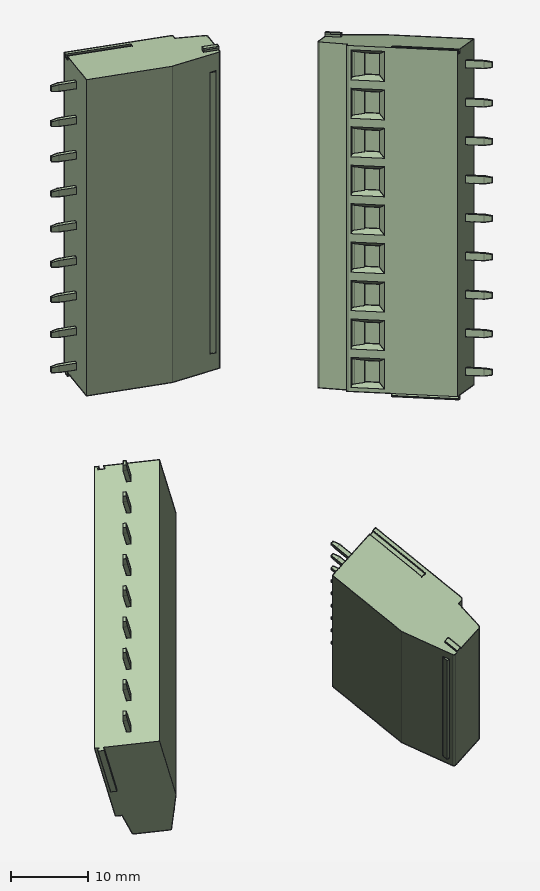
import cadquery as cq
import math

POLES = 9
WIDTH = 8.6
DEPTH = 19.15
HEIGHT = 45.7
PITCH = HEIGHT / POLES
TOTAL_HEIGHT = 46.7
KEY_HEIGHT = (TOTAL_HEIGHT - HEIGHT) / 2

SHOULDER_Y = 14.95
SHOULDER_X = 0.9
BACK_LEFT_X = 1.5
SLOPE_START_Y = 11.8
SLOPE_ANGLE = 15.0
BACK_RIGHT_X = WIDTH - (DEPTH - SLOPE_START_Y) * math.tan(math.radians(SLOPE_ANGLE))
BACK_RADIUS = 0.35
SHOULDER_RADIUS = 0.3

RIM_FRONT_Y = 9.75
RIM_BACK_Y = 14.3
RIM_HEIGHT = 3.95
THROAT_FRONT_Y = 10.8
THROAT_HEIGHT = 2.8
FUNNEL_DEPTH = 1.25
POCKET_DEPTH = 1.5
STEP_Y = 12.75
STEP_DEPTH = 1.1
CLAMP_BACK_Y = 13.95
CLAMP_BACK_DEPTH = 0.75
BACK_WALL_DEPTH = 0.45
ARC_BULGE = 0.65

PIN_X = 4.55
PIN_WIDTH = 0.6
PIN_HEIGHT = 1.0
PIN_LENGTH = 3.45
TIP_LENGTH = 1.0
TIP_WIDTH = 0.37
TIP_HEIGHT = 0.7
TIP_SHIFT = 0.1

WAIST_POSITION = 0.65

RAIL_X = 0.9
RAIL_LENGTH = 8.95
RAIL_ROOT = 0.6
RAIL_WAIST = 0.95
RAIL_END = 0.8

TAB_X = 5.75
TAB_LENGTH = 2.1
TAB_ROOT = 0.65
TAB_WAIST = 0.8
TAB_END = 0.65

RIDGE_X = 7.15
RIDGE_FRONT_Y = 17.55
RIDGE_BACK_Y = 18.35
RIDGE_ROOT_Y = 18.5
RIDGE_ROOT_X = 6.75


def pole_z(index):
    """Height of the centre of one pole."""
    return (index + 0.5) * PITCH


def make_housing():
    outline = [
        (0, 0),
        (WIDTH, 0),
        (WIDTH, SLOPE_START_Y),
        (BACK_RIGHT_X, DEPTH),
        (BACK_LEFT_X, DEPTH),
        (SHOULDER_X, SHOULDER_Y),
        (0, SHOULDER_Y),
    ]
    block = cq.Workplane("XY").polyline(outline).close().extrude(HEIGHT)
    block = block.edges("|Z and >Y").fillet(BACK_RADIUS)
    shoulder_edge = cq.selectors.NearestToPointSelector((0, SHOULDER_Y, HEIGHT / 2))
    return block.edges(shoulder_edge).fillet(SHOULDER_RADIUS)


def make_pocket():
    """Tapered wire entry centred on Z = 0, with the clamp left standing at its back."""
    entry = cq.Workplane("YZ")
    funnel = (
        entry.center((RIM_FRONT_Y + RIM_BACK_Y) / 2, 0)
        .rect(RIM_BACK_Y - RIM_FRONT_Y, RIM_HEIGHT)
        .workplane(offset=FUNNEL_DEPTH)
        .center((THROAT_FRONT_Y - RIM_FRONT_Y) / 2, 0)
        .rect(RIM_BACK_Y - THROAT_FRONT_Y, THROAT_HEIGHT)
        .loft(ruled=True)
    )
    throat = (
        entry.workplane(offset=FUNNEL_DEPTH)
        .center((THROAT_FRONT_Y + RIM_BACK_Y) / 2, 0)
        .rect(RIM_BACK_Y - THROAT_FRONT_Y, THROAT_HEIGHT)
        .extrude(POCKET_DEPTH - FUNNEL_DEPTH)
    )
    arc_middle = (
        BACK_WALL_DEPTH + ARC_BULGE * (CLAMP_BACK_DEPTH - BACK_WALL_DEPTH),
        CLAMP_BACK_Y + ARC_BULGE * (RIM_BACK_Y - CLAMP_BACK_Y),
    )
    open_space = (
        cq.Workplane("XY")
        .moveTo(0, RIM_FRONT_Y)
        .lineTo(POCKET_DEPTH, RIM_FRONT_Y)
        .lineTo(POCKET_DEPTH, STEP_Y)
        .lineTo(STEP_DEPTH, STEP_Y)
        .lineTo(CLAMP_BACK_DEPTH, CLAMP_BACK_Y)
        .threePointArc(arc_middle, (BACK_WALL_DEPTH, RIM_BACK_Y))
        .lineTo(0, RIM_BACK_Y)
        .close()
        .extrude(RIM_HEIGHT / 2, both=True)
    )
    return funnel.union(throat).intersect(open_space)


def make_pin():
    """Solder pin centred on Z = 0, pointing toward -Y, with a tapered tip."""
    shank_length = PIN_LENGTH - TIP_LENGTH
    face = cq.Workplane("XZ").center(PIN_X, 0)
    shank = face.rect(PIN_WIDTH, PIN_HEIGHT).extrude(shank_length)
    tip = (
        face.workplane(offset=shank_length)
        .rect(PIN_WIDTH, PIN_HEIGHT)
        .workplane(offset=TIP_LENGTH)
        .center(TIP_SHIFT, 0)
        .rect(TIP_WIDTH, TIP_HEIGHT)
        .loft(ruled=True)
    )
    return shank.union(tip)


def key_section(centre_x, root_z, end_z, root_width, waist_width, end_width):
    """Six-sided key outline in XZ, widest at its waist."""
    waist_z = root_z + WAIST_POSITION * (end_z - root_z)
    right_side = [
        (root_width / 2, root_z),
        (waist_width / 2, waist_z),
        (end_width / 2, end_z),
    ]
    right = [(centre_x + half, z) for half, z in right_side]
    left = [(centre_x - half, z) for half, z in reversed(right_side)]
    return cq.Workplane("XZ").polyline(right + left).close()


def make_rail(root_z):
    """Rail hanging below root_z, starting at the pin face."""
    section = key_section(RAIL_X, root_z, root_z - KEY_HEIGHT, RAIL_ROOT, RAIL_WAIST, RAIL_END)
    return section.extrude(-RAIL_LENGTH)


def make_tab():
    """Tab on the top end, running forward from the back face."""
    section = key_section(TAB_X, HEIGHT, HEIGHT + KEY_HEIGHT, TAB_ROOT, TAB_WAIST, TAB_END)
    return section.extrude(TAB_LENGTH).translate((0, DEPTH, 0))


def make_ridge():
    """Low ridge running along Z on the sloped face, half a pitch short of each end."""
    section = [
        (RIDGE_ROOT_X, RIDGE_ROOT_Y),
        (RIDGE_X, RIDGE_BACK_Y),
        (RIDGE_X, RIDGE_FRONT_Y),
        (RIDGE_ROOT_X, RIDGE_FRONT_Y),
    ]
    ridge = cq.Workplane("XY").polyline(section).close().extrude(HEIGHT - PITCH)
    return ridge.translate((0, 0, PITCH / 2))


result = make_housing()
result = result.union(make_ridge())
result = result.union(make_tab())
result = result.union(make_rail(0))
result = result.cut(make_rail(HEIGHT))

pocket = make_pocket()
pin = make_pin()
for pole in range(POLES):
    result = result.cut(pocket.translate((0, 0, pole_z(pole))))
    result = result.union(pin.translate((0, 0, pole_z(pole))))